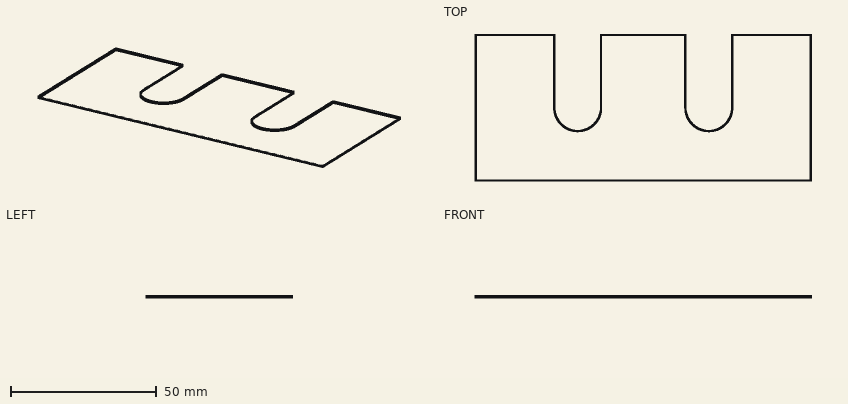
import cadquery as cq

length = 115.0
width = 50.0
thickness = 0.5

slot_width = 16.0
slot_spacing = 45.0
slot_arc_center_depth = 25.0

slot_radius = slot_width / 2
back_edge_y = width / 2
slot_arc_center_y = back_edge_y - slot_arc_center_depth


def make_plate():
    """Flat rectangular plate, centered on the origin in X and Y, resting on Z = 0."""
    return cq.Workplane("XY").box(length, width, thickness, centered=(True, True, False))


def make_slot(center_x):
    """Cutter for one slot: straight sides from the +Y edge down to a half-round end."""
    left_x = center_x - slot_radius
    right_x = center_x + slot_radius
    return (
        cq.Workplane("XY")
        .moveTo(left_x, back_edge_y)
        .lineTo(left_x, slot_arc_center_y)
        .threePointArc((center_x, slot_arc_center_y - slot_radius), (right_x, slot_arc_center_y))
        .lineTo(right_x, back_edge_y)
        .close()
        .extrude(thickness)
    )


result = make_plate()
for slot_x in (-slot_spacing / 2, slot_spacing / 2):
    result = result.cut(make_slot(slot_x))